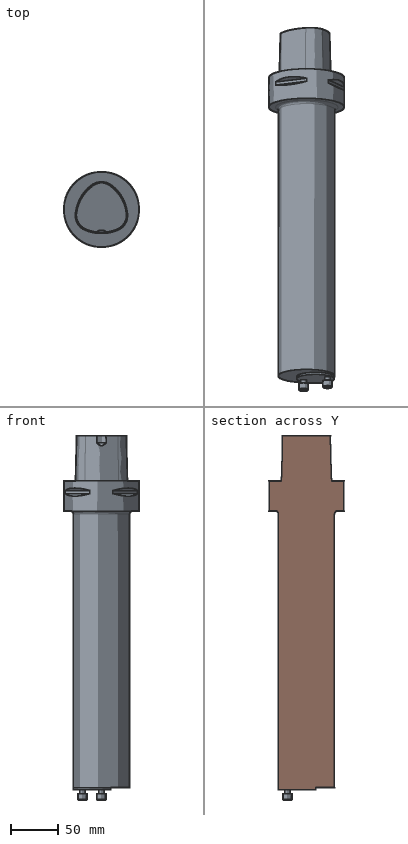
import cadquery as cq
import math

TOTAL_HEIGHT = 387.0
TAPER_HEIGHT = 48.0
FLANGE_HEIGHT = 32.0
PIN_LENGTH = 11.2
PAD_HEIGHT = 2.5

FLANGE_TOP = TOTAL_HEIGHT - TAPER_HEIGHT
FLANGE_BOTTOM = FLANGE_TOP - FLANGE_HEIGHT
PAD_BOTTOM = PIN_LENGTH
SHANK_BOTTOM = PAD_BOTTOM + PAD_HEIGHT

FLANGE_RADIUS = 80.0 / 2
SHANK_RADIUS = 60.0 / 2
NECK_FILLET = 3.0

LOBE_REACH = 29.5
SIDE_REACH = 25.5
LOBE_RADIUS = 17.0
LOBE_COUNT = 3
LOBE_PITCH = 360 / LOBE_COUNT
FIRST_LOBE_ANGLE = 90
TAPER_RATIO = 1 / 20

NOTCH_RADIUS = 6.0
NOTCH_WALL_HEIGHT = 7.7
NOTCH_DEPTH = 2.5
NOTCH_TIP_SLOPE = 48.0

GROOVE_COUNT = 4
FIRST_GROOVE_ANGLE = 45
GROOVE_FLOOR_DISTANCE = 35.5
GROOVE_FLOOR_HEIGHT = 3.3
GROOVE_DROP = 12.0
GROOVE_FLANK_ANGLE = 31.0

PAD_RADIUS = 40.0 / 2
PAD_OFFSET = SHANK_RADIUS - PAD_RADIUS
PIN_HEAD_RADIUS = 10.0 / 2
PIN_NECK_RADIUS = 6.0 / 2
PIN_HEAD_HEIGHT = 7.5
PIN_CHAMFER = 1.0


def polar_point(center, radius, angle):
    """Point at the given distance and angle (degrees) from a center."""
    a = math.radians(angle)
    return (center[0] + radius * math.cos(a), center[1] + radius * math.sin(a))


def make_taper():
    """Tapered three-lobed shank: three lobe arcs joined tangentially by three side arcs."""
    lobe_offset = LOBE_REACH - LOBE_RADIUS
    half_pitch = LOBE_PITCH / 2
    gap = SIDE_REACH - LOBE_RADIUS
    side_offset = (lobe_offset**2 - gap**2) / (2 * (gap - lobe_offset * math.cos(math.radians(half_pitch))))
    side_radius = SIDE_REACH + side_offset
    side_half_angle = math.degrees(
        math.asin(lobe_offset * math.sin(math.radians(half_pitch)) / (side_radius - LOBE_RADIUS))
    )
    lobe_half_angle = half_pitch - side_half_angle

    origin = (0, 0)
    first_center = polar_point(origin, lobe_offset, FIRST_LOBE_ANGLE)
    outline = cq.Workplane("XY").workplane(offset=FLANGE_TOP)
    outline = outline.moveTo(*polar_point(first_center, LOBE_RADIUS, FIRST_LOBE_ANGLE - lobe_half_angle))
    for index in range(LOBE_COUNT):
        lobe_angle = FIRST_LOBE_ANGLE + index * LOBE_PITCH
        next_angle = lobe_angle + LOBE_PITCH
        lobe_center = polar_point(origin, lobe_offset, lobe_angle)
        next_center = polar_point(origin, lobe_offset, next_angle)
        lobe_end = polar_point(lobe_center, LOBE_RADIUS, lobe_angle + lobe_half_angle)
        side_end = polar_point(next_center, LOBE_RADIUS, next_angle - lobe_half_angle)
        lobe_middle = polar_point(origin, LOBE_REACH, lobe_angle)
        side_middle = polar_point(origin, SIDE_REACH, lobe_angle + half_pitch)
        outline = outline.threePointArc(lobe_middle, lobe_end)
        outline = outline.threePointArc(side_middle, side_end)
    draft_angle = math.degrees(math.atan(TAPER_RATIO / 2))
    return outline.close().extrude(TAPER_HEIGHT, taper=draft_angle)


def make_body():
    """Flange and shank with a concave fillet between them."""
    return (
        cq.Workplane("XZ")
        .moveTo(0, FLANGE_TOP)
        .lineTo(FLANGE_RADIUS, FLANGE_TOP)
        .lineTo(FLANGE_RADIUS, FLANGE_BOTTOM)
        .lineTo(SHANK_RADIUS + NECK_FILLET, FLANGE_BOTTOM)
        .radiusArc((SHANK_RADIUS, FLANGE_BOTTOM - NECK_FILLET), -NECK_FILLET)
        .lineTo(SHANK_RADIUS, SHANK_BOTTOM)
        .lineTo(0, SHANK_BOTTOM)
        .close()
        .revolve(360, (0, 0), (0, 1))
    )


def make_notch():
    """Upright drilled notch with a cone tip, breaking through the top and side of the taper."""
    side_at_top = SIDE_REACH - TAPER_HEIGHT * TAPER_RATIO / 2
    axis_distance = side_at_top - NOTCH_DEPTH + NOTCH_RADIUS
    wall_bottom = TOTAL_HEIGHT - NOTCH_WALL_HEIGHT
    tip = wall_bottom - NOTCH_RADIUS * math.tan(math.radians(NOTCH_TIP_SLOPE))
    return (
        cq.Workplane("XZ")
        .moveTo(0, tip)
        .lineTo(NOTCH_RADIUS, wall_bottom)
        .lineTo(NOTCH_RADIUS, TOTAL_HEIGHT)
        .lineTo(0, TOTAL_HEIGHT)
        .close()
        .revolve(360, (0, 0), (0, 1))
        .translate((0, -axis_distance, 0))
    )


def make_groove(angle):
    """Straight trapezoidal groove across the flange rim, facing the given direction."""
    depth = FLANGE_RADIUS - GROOVE_FLOOR_DISTANCE
    half_floor = GROOVE_FLOOR_HEIGHT / 2
    half_mouth = half_floor + depth * math.tan(math.radians(GROOVE_FLANK_ANGLE))
    return (
        cq.Workplane("XZ")
        .center(0, FLANGE_TOP - GROOVE_DROP)
        .moveTo(GROOVE_FLOOR_DISTANCE, -half_floor)
        .lineTo(FLANGE_RADIUS, -half_mouth)
        .lineTo(FLANGE_RADIUS, half_mouth)
        .lineTo(GROOVE_FLOOR_DISTANCE, half_floor)
        .close()
        .extrude(FLANGE_RADIUS, both=True)
        .rotate((0, 0, 0), (0, 0, 1), angle)
    )


def make_pad():
    """Eccentric round pad on the shank end."""
    return (
        cq.Workplane("XY")
        .workplane(offset=PAD_BOTTOM)
        .center(-PAD_OFFSET, 0)
        .circle(PAD_RADIUS)
        .extrude(PAD_HEIGHT)
    )


def make_pin(x, y):
    """Headed pin hanging below the pad, chamfered at its tip."""
    head = cq.Workplane("XY").circle(PIN_HEAD_RADIUS).extrude(PIN_HEAD_HEIGHT)
    head = head.faces("<Z").chamfer(PIN_CHAMFER)
    neck = cq.Workplane("XY").circle(PIN_NECK_RADIUS).extrude(SHANK_BOTTOM)
    return head.union(neck).translate((x, y, 0))


result = make_body().union(make_taper()).union(make_pad())
result = result.cut(make_notch())
for index in range(GROOVE_COUNT):
    result = result.cut(make_groove(FIRST_GROOVE_ANGLE + index * 360 / GROOVE_COUNT))
for side in (-1, 1):
    result = result.union(make_pin(-PAD_OFFSET - side * PAD_OFFSET, side * PAD_OFFSET))